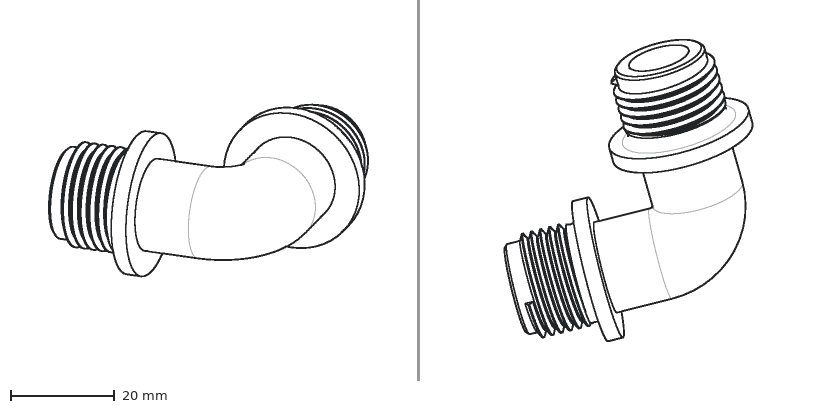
import cadquery as cq
import math

overall_size = 53.0
flange_radius = 14.0
pipe_radius = 9.0
bore_radius = 6.0
bend_radius = 10.05
axis_offset = flange_radius
corner = overall_size - axis_offset
arm_length = corner - bend_radius

tip_chamfer = 0.55
x_arm_neck_start = 12.4
y_arm_neck_start = 12.65
flange_start = 14.95
flange_thickness = 3.0
flange_end = flange_start + flange_thickness

neck_radius = 9.75
neck_groove_radius = 1.6

thread_start = 2.65
thread_pitch = 1.81
thread_turns = 6
crest_radius = 10.25
crest_half_width = 0.1
root_half_width = 0.77
root_overlap = 0.15


def flanged_section(neck_start):
    """Revolved neck, flange and plain pipe of one arm, which runs along +Z from the origin."""
    groove_center_r = neck_radius + neck_groove_radius
    groove_center_z = flange_start - neck_groove_radius
    shoulder_drop = math.sqrt(neck_groove_radius**2 - (groove_center_z - neck_start) ** 2)
    shoulder_radius = groove_center_r - shoulder_drop
    return (
        cq.Workplane("XZ")
        .moveTo(0, neck_start)
        .lineTo(shoulder_radius, neck_start)
        .threePointArc((neck_radius, groove_center_z), (groove_center_r, flange_start))
        .lineTo(flange_radius, flange_start)
        .lineTo(flange_radius, flange_end)
        .lineTo(pipe_radius, flange_end)
        .lineTo(pipe_radius, arm_length)
        .lineTo(0, arm_length)
        .close()
        .revolve(360, (0, 0, 0), (0, 1, 0))
    )


def threaded_section(neck_start):
    """Chamfered pipe end with a helical tooth that starts on local +X and stops at the neck."""
    flank_slope = (root_half_width - crest_half_width) / (crest_radius - pipe_radius)
    base_half_width = root_half_width + flank_slope * root_overlap
    base_radius = pipe_radius - root_overlap
    path = cq.Wire.makeHelix(thread_pitch, thread_pitch * thread_turns, pipe_radius)
    tooth = (
        cq.Workplane("XZ")
        .moveTo(base_radius, -base_half_width)
        .lineTo(crest_radius, -crest_half_width)
        .lineTo(crest_radius, crest_half_width)
        .lineTo(base_radius, base_half_width)
        .close()
        .sweep(cq.Workplane(path), isFrenet=True)
        .translate((0, 0, thread_start))
    )
    pipe_end = cq.Workplane("XY").circle(pipe_radius).extrude(flange_end).faces("<Z").chamfer(tip_chamfer)
    threaded_zone = cq.Workplane("XY").circle(flange_radius).extrude(neck_start)
    return pipe_end.union(tooth).intersect(threaded_zone)


def threaded_arm(neck_start, tip, start_direction, inward_direction):
    """One arm with its thread, placed by its tip, thread start direction and axis."""
    arm = threaded_section(neck_start).union(flanged_section(neck_start))
    frame = cq.Plane(origin=tip, xDir=start_direction, normal=inward_direction)
    return cq.Workplane(arm.val().moved(frame.location))


def elbow_path():
    """Centre line from the tip of the X arm through the bend to the tip of the Y arm."""
    return (
        cq.Workplane("XY")
        .lineTo(arm_length, 0)
        .radiusArc((corner, bend_radius), -bend_radius)
        .lineTo(corner, corner)
    )


def bore():
    """Round passage that follows the whole centre line."""
    return cq.Workplane("YZ").circle(bore_radius).sweep(elbow_path())


def quarter_bend():
    """Solid quarter bend that joins the inner ends of the two arms."""
    return (
        cq.Workplane("YZ", origin=(arm_length, 0, 0))
        .circle(pipe_radius)
        .revolve(90, (bend_radius, 0, 0), (bend_radius, 1, 0))
    )


x_arm = threaded_arm(x_arm_neck_start, (0, 0, 0), (0, 1, 0), (1, 0, 0))
y_arm = threaded_arm(y_arm_neck_start, (corner, corner, 0), (0, 0, -1), (0, -1, 0))

elbow = x_arm.union(quarter_bend()).union(y_arm)
result = elbow.cut(bore())